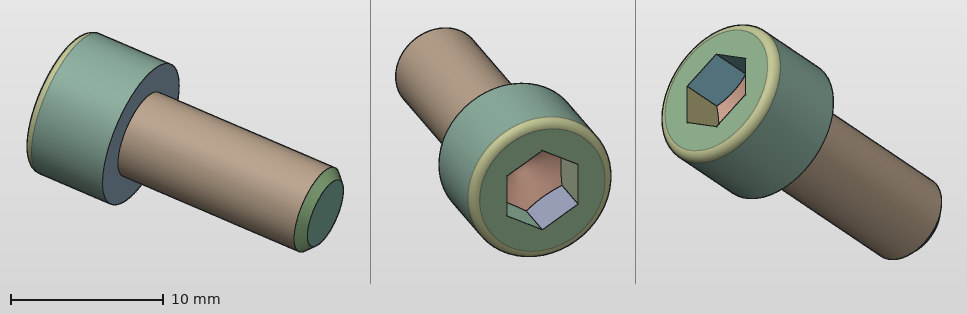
import cadquery as cq
import math

head_diameter = 10.0
head_height = 6.0
head_rounding = 0.6
shank_diameter = 6.0
shank_length = 14.0
tip_chamfer = 0.65

socket_across_flats = 5.0
socket_depth = 3.0
drill_point_angle = 120.0
socket_across_corners = socket_across_flats / math.cos(math.radians(30))
cone_radius = socket_across_corners / 2
cone_depth = cone_radius / math.tan(math.radians(drill_point_angle / 2))


def make_head():
    head = cq.Workplane("YZ").circle(head_diameter / 2).extrude(head_height)
    return head.faces("<X").edges().fillet(head_rounding)


def make_shank():
    shank = cq.Workplane("YZ", origin=(head_height, 0, 0))
    shank = shank.circle(shank_diameter / 2).extrude(shank_length)
    return shank.faces(">X").edges().chamfer(tip_chamfer)


def make_socket():
    hexagon = (
        cq.Workplane("YZ")
        .transformed(rotate=(0, 0, 90))
        .polygon(6, socket_across_corners)
        .extrude(socket_depth + cone_depth)
    )
    drilled_hole = (
        cq.Workplane("XY")
        .polyline([
            (0, 0),
            (0, cone_radius),
            (socket_depth, cone_radius),
            (socket_depth + cone_depth, 0),
        ])
        .close()
        .revolve(360, (0, 0, 0), (1, 0, 0))
    )
    return hexagon.intersect(drilled_hole)


result = make_head().union(make_shank()).cut(make_socket())